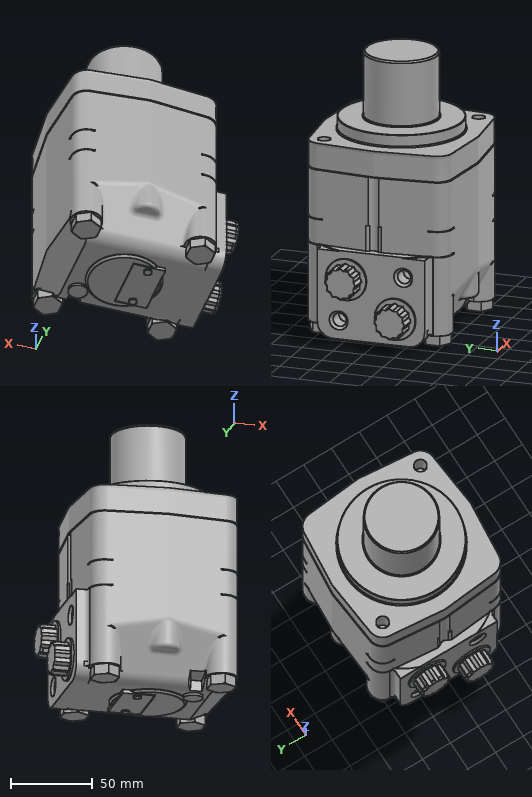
import cadquery as cq
import math


HALF_WIDTH = 50.0
CROWN_ANGLE = 5.3
CORNER_RADIUS = 9.8
BOLT_CIRCLE = 104.0
BOLT_OFFSET = BOLT_CIRCLE / 2 / math.sqrt(2)

SHAFT_RADIUS = 23.25
SHAFT_LENGTH = 50.0
SHAFT_CHAMFER_RADIAL = 0.8
SHAFT_CHAMFER_AXIAL = 1.2
SHAFT_FLARE = 0.75
PILOT_RADIUS = 39.25
PILOT_HEIGHT = 8.0
PILOT_FLARE = 0.8
PILOT_CHAMFER = 0.3

LIP_Z = -1.8
FLANGE_Z = -16.6
GEAR_SEAM_Z = -48.3
HOUSING_Z = -64.6
LEG_Z = -115.4
BLOCK_Z = -121.5
BOLT_Z = -122.0
COVER_Z = -123.2
TAG_Z = -123.8
NIB_Z = -124.76

FLANGE_DRAFT = 1.0
FLANGE_HOLE_RADIUS = 4.0
SEAM_WIDTH = 0.5
SEAM_DEPTH = 0.3
GEAR_RADIUS = 58.0

GROOVE_RADIUS = 4.0
GROOVE_HALF_WIDTH = 3.7
BEVEL_INNER_Y = 2.9
BEVEL_OUTER_Y = 5.0

SLOPE_ANGLE = 28.0
SLOPE_TOP_Z = -85.0
SLOPE_RUN = math.tan(math.radians(SLOPE_ANGLE))
END_SLOPE_TOP_Z = -111.8
END_SLOPE_ANGLE = 60.0
RIDGE_RADIUS = 8.0
BLEND_RADIUS = 2.0
BLOCK_ROUND = 11.0
BUMP_RADIUS = 9.0
BUMP_FRONT = 49.6
BUMP_Z = -102.8
BUMP_ROUND = 2.6
BUMP_BLEND_RADIUS = 4.0
BOLT_FLATS = 16.0
BOLT_CHAMFER = 0.5

PLATE_X = -54.2
PLATE_BACK_X = -44.0
PLATE_HALF_WIDTH = 34.9
PLATE_CORNER_RADIUS = 10.0
WEB_RADIUS = 2.7
WEB_Z = -114.5
PORTS = [(16.0, -82.5), (-16.0, -104.5)]
PLUG_END_X = -65.3
WASHER_RADIUS = 13.2
WASHER_THICKNESS = 1.3
PLUG_TIP_RADIUS = 10.5
PLUG_VALLEY_RADIUS = 9.4
PLUG_TEETH = 12
PLUG_NOSE_LENGTH = 1.7
PLUG_NOSE_INSET = 0.6
PLATE_HOLES = [(-21.0, -77.5), (21.0, -109.5)]
PLATE_HOLE_RADIUS = 4.25
PLATE_HOLE_MOUTH_RADIUS = 6.0
PLATE_HOLE_DEPTH = 12.0
DRILL_HALF_ANGLE = 59.0
DRILL_POINT = PLATE_HOLE_RADIUS / math.tan(math.radians(DRILL_HALF_ANGLE))

COVER_RADIUS = 23.7
COVER_CHAMFER = 1.4
TAG_LENGTH = 20.5
TAG_WIDTH = 36.0
NIB_RADIUS = 2.5
NIB_X = -10.4
NIB_Y = 14.3

DRAIN_X = 24.0
DRAIN_Y = -17.5
DRAIN_RADIUS = 6.0
RECESS_RIGHT_X = 27.2
RECESS_MOUTH_Y = -37.0
RECESS_MOUTH_TOP_Z = -111.5
RECESS_MOUTH_X = (17.2, 14.0)
RECESS_BACK_Y = -26.0
RECESS_BACK_TOP_Z = -114.6
RECESS_BACK_X = (20.5, 20.0)


def prism(outline, z_top, z_bottom):
    """Extrude a closed XY outline between two levels."""
    return outline.extrude(z_top - z_bottom).translate((0, 0, z_bottom))


def cylinder(radius, z_top, z_bottom, x=0.0, y=0.0):
    return prism(cq.Workplane("XY").center(x, y).circle(radius), z_top, z_bottom)


def x_cylinder(radius, x_start, x_end):
    plane = cq.Workplane("YZ", origin=(x_start, 0, 0))
    return plane.circle(radius).extrude(x_end - x_start)


def box_around(x, y, z, reach=0.5):
    """Selector for what has its centre close to a point."""
    return cq.selectors.BoxSelector((x - reach, y - reach, z - reach), (x + reach, y + reach, z + reach))


def crowned_square(inset=0.0):
    """Square whose sides bulge to a shallow point in the middle, with round corners."""
    mid = HALF_WIDTH - inset
    corner = mid / (1 + math.tan(math.radians(CROWN_ANGLE)))
    points = [
        (mid, 0), (corner, corner), (0, mid), (-corner, corner),
        (-mid, 0), (-corner, -corner), (0, -mid), (corner, -corner),
    ]
    face = cq.Sketch().polygon(points + points[:1])
    for x, y in points[1::2]:
        face = face.vertices(box_around(x, y, 0)).fillet(CORNER_RADIUS - inset).reset()
    return cq.Workplane("XY").placeSketch(face)


def crowned_body(z_top, z_bottom, inset=0.0):
    return prism(crowned_square(inset), z_top, z_bottom)


def flange():
    inset = (LIP_Z - FLANGE_Z) * math.tan(math.radians(FLANGE_DRAFT))
    drafted = crowned_square().extrude(LIP_Z - FLANGE_Z, taper=FLANGE_DRAFT)
    drafted = drafted.translate((0, 0, FLANGE_Z))
    lip_taper = math.degrees(math.atan(inset / -LIP_Z))
    lip = crowned_square().extrude(LIP_Z, taper=lip_taper)
    body = drafted.union(lip)
    for side in (-1, 1):
        hole = cylinder(FLANGE_HOLE_RADIUS, 0, FLANGE_Z, side * BOLT_OFFSET, -side * BOLT_OFFSET)
        body = body.cut(hole)
    return body


def shaft_and_pilot():
    shaft_top_radius = SHAFT_RADIUS - SHAFT_CHAMFER_RADIAL
    profile = [
        (0, FLANGE_Z),
        (PILOT_RADIUS + PILOT_FLARE, FLANGE_Z),
        (PILOT_RADIUS + PILOT_FLARE, 0),
        (PILOT_RADIUS, PILOT_FLARE),
        (PILOT_RADIUS, PILOT_HEIGHT - PILOT_CHAMFER),
        (PILOT_RADIUS - PILOT_CHAMFER, PILOT_HEIGHT),
        (SHAFT_RADIUS + SHAFT_FLARE, PILOT_HEIGHT),
        (SHAFT_RADIUS, PILOT_HEIGHT + SHAFT_FLARE),
        (SHAFT_RADIUS, SHAFT_LENGTH - SHAFT_CHAMFER_AXIAL),
        (shaft_top_radius, SHAFT_LENGTH),
        (0, SHAFT_LENGTH),
    ]
    return cq.Workplane("XZ").polyline(profile).close().revolve(360, (0, 0, 0), (0, 1, 0))


def corner_seam(z_top):
    """Thin gap reaching in from the four corners as far as the round gear set."""
    size = 4 * HALF_WIDTH
    slab = prism(cq.Workplane("XY").rect(size, size), z_top, z_top - SEAM_WIDTH)
    return slab.cut(cylinder(GEAR_RADIUS, z_top, z_top - SEAM_WIDTH))


def key_groove():
    centre_x = -HALF_WIDTH - math.sqrt(GROOVE_RADIUS**2 - GROOVE_HALF_WIDTH**2)
    groove = cylinder(GROOVE_RADIUS, FLANGE_Z - SEAM_WIDTH, HOUSING_Z, centre_x)
    inner_x = centre_x + math.sqrt(GROOVE_RADIUS**2 - BEVEL_INNER_Y**2)
    outer_x = -HALF_WIDTH + BEVEL_OUTER_Y * math.tan(math.radians(CROWN_ANGLE))
    bevel_points = [
        (-HALF_WIDTH, BEVEL_OUTER_Y),
        (outer_x, BEVEL_OUTER_Y),
        (inner_x, BEVEL_INNER_Y),
        (inner_x, -BEVEL_INNER_Y),
        (outer_x, -BEVEL_OUTER_Y),
        (-HALF_WIDTH, -BEVEL_OUTER_Y),
    ]
    bevel = prism(cq.Workplane("XY").polyline(bevel_points).close(), GEAR_SEAM_Z, HOUSING_Z)
    return groove.union(bevel)


def gear_housing():
    body = crowned_body(FLANGE_Z - SEAM_WIDTH, HOUSING_Z)
    neck = crowned_body(FLANGE_Z, FLANGE_Z - SEAM_WIDTH, SEAM_DEPTH)
    return body.union(neck).cut(key_groove())


def slope_cutter(top_z, angle, turn):
    """Wedge outside a plane that leans inwards below top_z, turned about Z from the +X side."""
    run = (top_z - BLOCK_Z) * math.tan(math.radians(angle))
    points = [
        (HALF_WIDTH, top_z),
        (HALF_WIDTH - run, BLOCK_Z),
        (2 * HALF_WIDTH, BLOCK_Z),
        (2 * HALF_WIDTH, top_z),
    ]
    wedge = (
        cq.Workplane("XZ", origin=(0, 2 * HALF_WIDTH, 0))
        .polyline(points)
        .close()
        .extrude(4 * HALF_WIDTH)
    )
    return wedge.rotate((0, 0, 0), (0, 0, 1), turn)


def slope_y(z):
    """Distance of the sloping side from the XZ plane at level z, at mid width."""
    return HALF_WIDTH - (SLOPE_TOP_Z - z) * SLOPE_RUN


def sloped_quarter():
    """+X+Y quarter of the housing core: rounded ridge and foot, blended into the corner leg."""
    crown_run = math.tan(math.radians(CROWN_ANGLE))
    outline = [
        (0, 0),
        (0, HALF_WIDTH),
        (HALF_WIDTH, HALF_WIDTH * (1 - crown_run)),
        (HALF_WIDTH, 0),
    ]
    sharp = prism(cq.Workplane("XY").polyline(outline).close(), HOUSING_Z, BLOCK_Z)
    sharp = sharp.cut(slope_cutter(SLOPE_TOP_Z, SLOPE_ANGLE, 90))
    ridge_inset = HALF_WIDTH * crown_run / 2
    ridge = box_around(
        HALF_WIDTH / 2, HALF_WIDTH - ridge_inset, SLOPE_TOP_Z - ridge_inset / SLOPE_RUN
    )
    column = leg_column(BOLT_OFFSET, BOLT_OFFSET)
    ridge_shaving = sharp.cut(sharp.edges(ridge).fillet(RIDGE_RADIUS)).cut(column)

    quarter = sharp.edges(box_around(HALF_WIDTH / 2, slope_y(BLOCK_Z), BLOCK_Z)).fillet(BLOCK_ROUND)
    quarter = quarter.intersect(crowned_body(HOUSING_Z, BLOCK_Z)).union(column)
    inner_x = BOLT_OFFSET - CORNER_RADIUS
    blend_edge = cq.selectors.BoxSelector(
        (inner_x, BOLT_OFFSET, BLOCK_Z), (BOLT_OFFSET, HALF_WIDTH, SLOPE_TOP_Z)
    )
    quarter = quarter.edges(blend_edge).edges("%ELLIPSE").fillet(BLEND_RADIUS)
    return quarter.cut(ridge_shaving)


def sloped_block():
    """Core of the lower housing, sloping in below a ridge on both Y sides."""
    half = sloped_quarter()
    half = half.union(half.mirror("YZ"))
    block = half.union(half.mirror("XZ"))
    for side in (-1, 1):
        bump_foot = box_around(0, side * slope_y(BUMP_Z), BUMP_Z)
        block = block.union(side_bump(side)).edges(bump_foot).fillet(BUMP_BLEND_RADIUS)
    return block.cut(slope_cutter(END_SLOPE_TOP_Z, END_SLOPE_ANGLE, 0))


def side_bump(side):
    centre_y = side * (BUMP_FRONT - BUMP_RADIUS)
    bump = cylinder(BUMP_RADIUS, SLOPE_TOP_Z, BUMP_Z, 0, centre_y)
    return bump.faces("<Z").edges().fillet(BUMP_ROUND)


def leg_column(x, y):
    return cylinder(CORNER_RADIUS, HOUSING_Z, LEG_Z, x, y)


def leg(x, y):
    corner_diameter = BOLT_FLATS / math.cos(math.pi / 6)
    head = cq.Workplane("XY").polygon(6, corner_diameter).extrude(LEG_Z - BOLT_Z)
    crown = cq.Workplane("XY").circle(corner_diameter / 2).extrude(LEG_Z - BOLT_Z)
    crown = crown.faces("<Z").chamfer(BOLT_CHAMFER)
    head = head.intersect(crown).rotate((0, 0, 0), (0, 0, 1), 90)
    return leg_column(x, y).union(head.translate((x, y, BOLT_Z)))


def port_plate():
    height = HOUSING_Z - BLOCK_Z
    return (
        cq.Workplane("YZ", origin=(PLATE_X, 0, (HOUSING_Z + BLOCK_Z) / 2))
        .rect(2 * PLATE_HALF_WIDTH, height)
        .extrude(PLATE_BACK_X - PLATE_X)
        .edges("|X and <Z")
        .fillet(PLATE_CORNER_RADIUS)
    )


def plate_web(side):
    """Concave web that blends the edge of the port plate into the corner leg."""
    inner = side * PLATE_HALF_WIDTH
    outer = side * (PLATE_HALF_WIDTH + WEB_RADIUS)
    front_x = -BOLT_OFFSET - CORNER_RADIUS - WEB_RADIUS
    outline = (
        cq.Workplane("XY")
        .moveTo(front_x, inner)
        .radiusArc((front_x + WEB_RADIUS, outer), -side * WEB_RADIUS)
        .lineTo(PLATE_BACK_X, outer)
        .lineTo(PLATE_BACK_X, inner)
        .close()
    )
    return prism(outline, HOUSING_Z, WEB_Z)


def plug_star(x, inset=0.0):
    """Toothed outline of a plug in the plane at x, centred on the X axis."""
    points = []
    for step in range(2 * PLUG_TEETH):
        radius = PLUG_VALLEY_RADIUS if step % 2 else PLUG_TIP_RADIUS
        angle = math.pi * step / PLUG_TEETH
        points.append(((radius - inset) * math.cos(angle), (radius - inset) * math.sin(angle)))
    return cq.Workplane("YZ", origin=(x, 0, 0)).polyline(points).close()


def port_plug(y, z):
    nose_x = PLUG_END_X + PLUG_NOSE_LENGTH
    nose_wire = plug_star(PLUG_END_X, PLUG_NOSE_INSET).val()
    nose = cq.Workplane(cq.Solid.makeLoft([nose_wire, plug_star(nose_x).val()], True))
    grip = plug_star(nose_x).extrude(PLATE_X - nose_x)
    washer = x_cylinder(WASHER_RADIUS, PLATE_X - WASHER_THICKNESS, PLATE_X)
    return nose.union(grip).union(washer).translate((0, y, z))


def plate_hole(y, z):
    mouth_depth = PLATE_HOLE_MOUTH_RADIUS - PLATE_HOLE_RADIUS
    profile = [
        (PLATE_X, 0),
        (PLATE_X, PLATE_HOLE_MOUTH_RADIUS),
        (PLATE_X + mouth_depth, PLATE_HOLE_RADIUS),
        (PLATE_X + PLATE_HOLE_DEPTH, PLATE_HOLE_RADIUS),
        (PLATE_X + PLATE_HOLE_DEPTH + DRILL_POINT, 0),
    ]
    hole = cq.Workplane("XY").polyline(profile).close().revolve(360, (0, 0, 0), (1, 0, 0))
    return hole.translate((0, y, z))


def lower_housing():
    body = sloped_block()
    for side in (-1, 1):
        body = body.union(plate_web(side))
        for x in (-BOLT_OFFSET, BOLT_OFFSET):
            body = body.union(leg(x, side * BOLT_OFFSET))
    body = body.union(port_plate())
    for y, z in PLATE_HOLES:
        body = body.cut(plate_hole(y, z))
    for y, z in PORTS:
        body = body.union(port_plug(y, z))
    return body


def recess_outline(y, top_z, left_xs):
    """Section of the drain recess at y; left_xs are its left side at the top and the bottom."""
    top_left_x, bottom_left_x = left_xs
    points = [
        (top_left_x, top_z),
        (RECESS_RIGHT_X, top_z),
        (RECESS_RIGHT_X, BLOCK_Z),
        (bottom_left_x, BLOCK_Z),
    ]
    return cq.Workplane("XZ", origin=(0, y, 0)).polyline(points).close().val()


def drain_recess():
    mouth = recess_outline(RECESS_MOUTH_Y, RECESS_MOUTH_TOP_Z, RECESS_MOUTH_X)
    back = recess_outline(RECESS_BACK_Y, RECESS_BACK_TOP_Z, RECESS_BACK_X)
    return cq.Workplane(cq.Solid.makeLoft([mouth, back], True))


def bottom_cover():
    cover = cylinder(COVER_RADIUS, LEG_Z, COVER_Z).faces("<Z").chamfer(COVER_CHAMFER)
    tag = cq.Workplane("XY").center(-TAG_LENGTH / 2, 0).rect(TAG_LENGTH, TAG_WIDTH)
    cover = cover.union(prism(tag, LEG_Z, TAG_Z))
    cover = cover.union(cylinder(DRAIN_RADIUS, LEG_Z, COVER_Z, DRAIN_X, DRAIN_Y))
    for side in (-1, 1):
        cover = cover.union(cylinder(NIB_RADIUS, LEG_Z, NIB_Z, NIB_X, side * NIB_Y))
    return cover


def build():
    motor = flange().union(shaft_and_pilot()).union(gear_housing()).union(lower_housing())
    motor = motor.cut(drain_recess()).union(bottom_cover())
    for seam_z in (GEAR_SEAM_Z, HOUSING_Z):
        motor = motor.cut(corner_seam(seam_z))
    return motor


result = build()